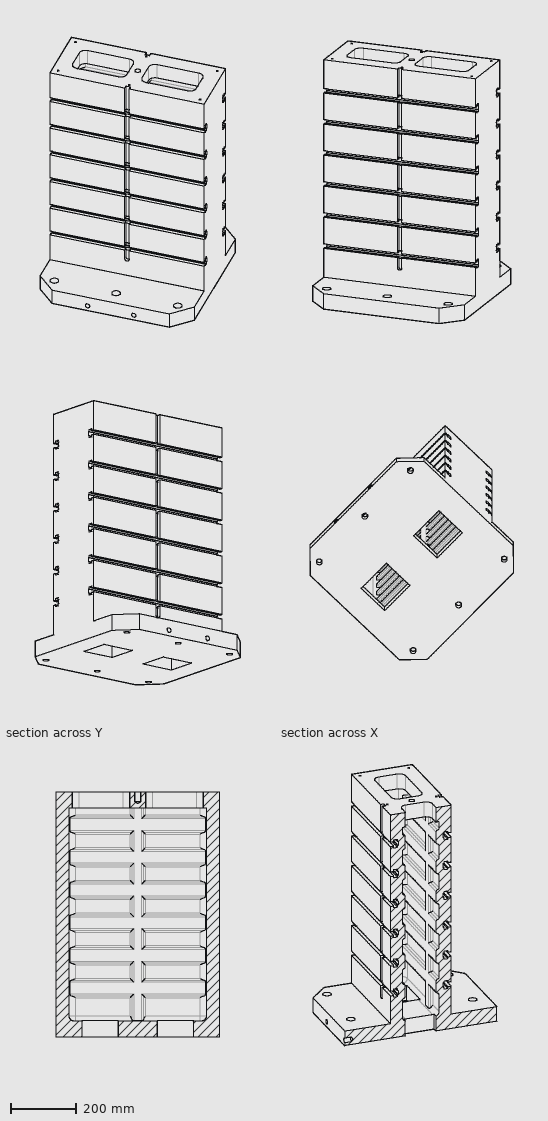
import cadquery as cq
import math

HEIGHT = 750.0
SIDE = HEIGHT * 2 / 3
SLOT_PITCH = SIDE / 5
SLOT_COUNT = 6

BASE_THICKNESS = SLOT_PITCH / 2
CORNER_CHAMFER = 60.0
BOLT_SPACING = 2 * SLOT_PITCH
BOLT_DIAMETER = 18.0
BOLT_HEAD_DIAMETER = 26.0
BOLT_HEAD_DEPTH = 18.0
EDGE_HOLE_DIAMETER = 14.0
EDGE_HOLE_DEPTH = 22.5
EDGE_HOLE_SPACING = 150.0
EDGE_HOLE_HEIGHT = 18.0
WINDOW_INNER_X = 60.0
WINDOW_LENGTH = 110.0

COLUMN_DEPTH = 2 * SLOT_PITCH
FACE_Y = COLUMN_DEPTH / 2
FIRST_SLOT_Z = 1.5 * SLOT_PITCH
SLOT_LEVELS = [FIRST_SLOT_Z + i * SLOT_PITCH for i in range(SLOT_COUNT)]

SLOT_WIDTH = 14.0
HEAD_BACK_DEPTH = 23.0
NECK_DEPTH = 11.0
HEAD_WIDTH = 25.5
RELIEF_WIDTH = 13.0
RELIEF_DEPTH = 25.5
GROOVE_DEPTH = NECK_DEPTH
GROOVE_END_Z = 110.0

TOP_THICKNESS = SLOT_PITCH / 2
OPENING_INNER_X = 25.0
OPENING_LENGTH = 2 * SLOT_PITCH - OPENING_INNER_X
OPENING_WIDTH = SLOT_PITCH
OPENING_RADIUS = 20.0
LIFTING_DIAMETER = 17.0
LIFTING_DEPTH = 30.0
DRILL_POINT_ANGLE = 118.0
PIN_DIAMETER = 5.0
PIN_DEPTH = 10.0
PIN_INSET = SLOT_PITCH / 5
PIN_X = SIDE / 2 - PIN_INSET
PIN_Y = FACE_Y - PIN_INSET

RIB_HEIGHT = 10.0
SLOT_RIB_HALF_WIDTH = 18.0
GROOVE_RIB_HALF_WIDTH = 12.0
RIB_RADIUS = 6.0
CAVITY_HALF_LENGTH = 210.0
CAVITY_HALF_WIDTH = OPENING_WIDTH / 2 + RIB_HEIGHT
CAVITY_RADIUS = 20.0
FLOOR_RADIUS = 15.0
CAVITY_HEIGHT = HEIGHT - TOP_THICKNESS - BASE_THICKNESS


def drilled_hole(plane, diameter, depth):
    """Blind hole with a conical drill point, running along the plane's normal."""
    radius = diameter / 2
    point = radius / math.tan(math.radians(DRILL_POINT_ANGLE / 2))
    profile = (
        cq.Workplane("XY")
        .polyline([(0, 0), (radius, 0), (radius, depth), (0, depth + point)])
        .close()
        .revolve(360, (0, 0, 0), (0, 1, 0))
        .rotate((0, 0, 0), (1, 0, 0), 90)
    )
    return profile.val().moved(cq.Location(plane))


def body():
    """Chamfered base plate with the plain column on it."""
    plate = (
        cq.Workplane("XY")
        .rect(SIDE, SIDE)
        .extrude(BASE_THICKNESS)
        .edges("|Z")
        .chamfer(CORNER_CHAMFER)
    )
    column = cq.Workplane("XY").rect(SIDE, COLUMN_DEPTH).extrude(HEIGHT)
    return plate.union(column)


def t_slot(z):
    """T-slot across the front face: neck, wider head and a shallow relief along its back."""
    steps = [
        (SLOT_WIDTH, 0, NECK_DEPTH),
        (HEAD_WIDTH, NECK_DEPTH, HEAD_BACK_DEPTH),
        (RELIEF_WIDTH, HEAD_BACK_DEPTH, RELIEF_DEPTH),
    ]
    slot = cq.Workplane("XY")
    for width, start, end in steps:
        step = cq.Workplane("XY").box(SIDE, end - start, width, centered=(True, False, True))
        slot = slot.union(step.translate((0, start - FACE_Y, z)))
    return slot


def upright_groove():
    """Groove down the middle of the front face, open at the top and round at the bottom."""
    straight = (
        cq.Workplane("XY")
        .box(SLOT_WIDTH, GROOVE_DEPTH, HEIGHT - GROOVE_END_Z, centered=(True, False, False))
        .translate((0, -FACE_Y, GROOVE_END_Z))
    )
    round_end = (
        cq.Workplane("XZ", origin=(0, -FACE_Y, GROOVE_END_Z))
        .circle(SLOT_WIDTH / 2)
        .extrude(-GROOVE_DEPTH)
    )
    return straight.union(round_end)


def rib(plane, crest, length):
    """Rib with S-shaped flanks and a flat top of half-width crest.

    The plane's x runs across the rib and its y points into the cavity.
    """
    turn = math.acos(1 - RIB_HEIGHT / (2 * RIB_RADIUS))
    run = RIB_RADIUS * math.sin(turn)
    half_run = RIB_RADIUS * math.sin(turn / 2)
    half_rise = RIB_RADIUS * (1 - math.cos(turn / 2))
    foot = crest + 2 * run
    middle = (crest + run, RIB_HEIGHT / 2)
    foot_mid = (foot - half_run, half_rise)
    crest_mid = (crest + half_run, RIB_HEIGHT - half_rise)

    def mirrored(point):
        return (-point[0], point[1])

    return (
        cq.Workplane(plane)
        .moveTo(foot, 0)
        .threePointArc(foot_mid, middle)
        .threePointArc(crest_mid, (crest, RIB_HEIGHT))
        .lineTo(-crest, RIB_HEIGHT)
        .threePointArc(mirrored(crest_mid), mirrored(middle))
        .threePointArc(mirrored(foot_mid), (-foot, 0))
        .close()
        .extrude(length)
    )


def wall_ribs():
    """Ribs on the front wall of the cavity: one per T-slot and one behind the groove."""
    wall_y = -CAVITY_HALF_WIDTH
    up = cq.Plane(origin=(0, wall_y, BASE_THICKNESS), xDir=(1, 0, 0), normal=(0, 0, 1))
    ribs = rib(up, GROOVE_RIB_HALF_WIDTH, CAVITY_HEIGHT)
    for z in SLOT_LEVELS:
        across = cq.Plane(
            origin=(-CAVITY_HALF_LENGTH, wall_y, z), xDir=(0, 0, -1), normal=(1, 0, 0)
        )
        ribs = ribs.union(rib(across, SLOT_RIB_HALF_WIDTH, 2 * CAVITY_HALF_LENGTH))
    return ribs


def both_faces(shape):
    """The shape together with its mirror image on the opposite side of the column."""
    return shape.union(shape.mirror("XZ"))


def cavity():
    """Hollow inside of the column with its ribs left standing."""
    space = (
        cq.Workplane("XY", origin=(0, 0, BASE_THICKNESS))
        .rect(2 * CAVITY_HALF_LENGTH, 2 * CAVITY_HALF_WIDTH)
        .extrude(CAVITY_HEIGHT)
        .edges("|Z")
        .fillet(CAVITY_RADIUS)
        .faces("<Z")
        .edges()
        .fillet(FLOOR_RADIUS)
    )
    return space.cut(both_faces(wall_ribs()))


def openings():
    """Paired openings through the top wall and through the base plate."""
    opening_x = OPENING_INNER_X + OPENING_LENGTH / 2
    window_x = WINDOW_INNER_X + WINDOW_LENGTH / 2
    top = (
        cq.Workplane("XY", origin=(0, 0, HEIGHT - TOP_THICKNESS))
        .pushPoints([(-opening_x, 0), (opening_x, 0)])
        .rect(OPENING_LENGTH, OPENING_WIDTH)
        .extrude(TOP_THICKNESS)
        .edges("|Z")
        .fillet(OPENING_RADIUS)
    )
    windows = (
        cq.Workplane("XY")
        .pushPoints([(-window_x, 0), (window_x, 0)])
        .rect(WINDOW_LENGTH, OPENING_WIDTH)
        .extrude(BASE_THICKNESS + FLOOR_RADIUS)
    )
    return top.union(windows)


part = body()
for z in SLOT_LEVELS:
    part = part.cut(both_faces(t_slot(z)))
part = part.cut(both_faces(upright_groove()))
part = part.cut(cavity())
part = part.cut(openings())

bolt_points = [(i * BOLT_SPACING, j * BOLT_SPACING) for i in (-1, 0, 1) for j in (-1, 1)]
part = (
    part.copyWorkplane(cq.Workplane("XY", origin=(0, 0, BASE_THICKNESS)))
    .pushPoints(bolt_points)
    .cboreHole(BOLT_DIAMETER, BOLT_HEAD_DIAMETER, BOLT_HEAD_DEPTH, BASE_THICKNESS)
)

pin_points = [(i * PIN_X, j * PIN_Y) for i in (-1, 0, 1) for j in (-1, 1)]
part = (
    part.copyWorkplane(cq.Workplane("XY", origin=(0, 0, HEIGHT)))
    .pushPoints(pin_points)
    .hole(PIN_DIAMETER, PIN_DEPTH)
)

top_plane = cq.Plane(origin=(0, 0, HEIGHT), xDir=(1, 0, 0), normal=(0, 0, -1))
part = part.cut(cq.Workplane(drilled_hole(top_plane, LIFTING_DIAMETER, LIFTING_DEPTH)))
for side in (-1, 1):
    edge_plane = cq.Plane(
        origin=(side * EDGE_HOLE_SPACING / 2, -SIDE / 2, EDGE_HOLE_HEIGHT),
        xDir=(1, 0, 0),
        normal=(0, 1, 0),
    )
    part = part.cut(cq.Workplane(drilled_hole(edge_plane, EDGE_HOLE_DIAMETER, EDGE_HOLE_DEPTH)))

result = part